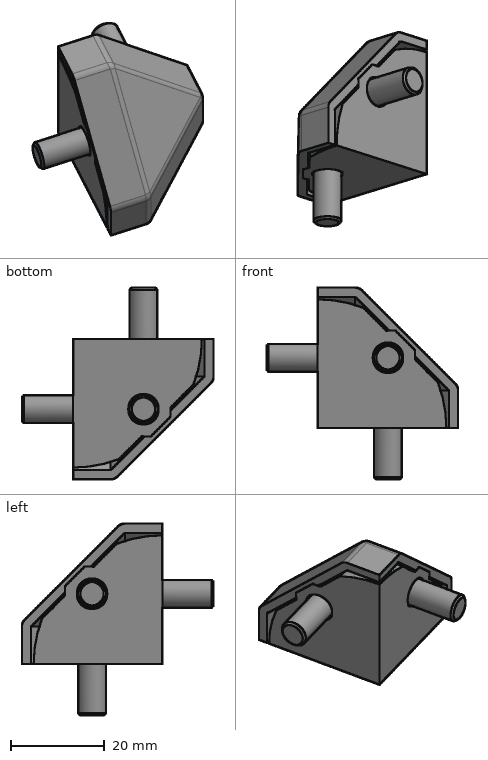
import cadquery as cq
import math


overall = 41.0
pin_reach = 11.0
cap_size = overall - pin_reach

wall = 2.0
cap_bevel = 27.45

body_radius = 27.45
body_gap = 0.35

key_reach = 20.8
key_height = 1.35
key_depth = 6.15

pin_diameter = 6.0
pin_chamfer = 0.5
pin_depth = 5.0
pin_hole_diameter = 6.5
pin_position = cap_size / 2

cavity_size = cap_size - wall
cavity_bevel = cap_bevel - wall
body_bevel = cavity_bevel - body_gap

AXES = [(1, 0, 0), (0, 1, 0), (0, 0, 1)]
BEVEL_NORMALS = [(0, 1, 1), (1, 0, 1), (1, 1, 0)]
CORNER_NORMAL = (1, 1, 1)
TOLERANCE = 0.005


def trim(shape, normal, distance):
    """Remove everything beyond a plane lying at a distance from the origin along its normal."""
    direction = cq.Vector(*normal).normalized()
    plane = cq.Plane(origin=direction * distance, normal=direction)
    ample = 4 * overall
    beyond = cq.Workplane(plane).rect(ample, ample).extrude(ample)
    return shape.cut(beyond)


def corner_distance(size, bevel):
    """Distance from the origin to the triangular face spanning the ends of the three flat faces."""
    flat_width = bevel * math.sqrt(2) - size
    return (size + 2 * flat_width) / math.sqrt(3)


def trim_facets(shape, bevel, corner):
    """Cut the three bevels and the triangular corner face."""
    for normal in BEVEL_NORMALS:
        shape = trim(shape, normal, bevel)
    return trim(shape, CORNER_NORMAL, corner)


def cube(size):
    return cq.Workplane("XY").box(size, size, size, centered=False)


def faceted_corner(size, bevel):
    return trim_facets(cube(size), bevel, corner_distance(size, bevel))


def is_outer_edge(edge):
    """True for an edge that does not lie in one of the mating faces."""
    return min(edge.Center().toTuple()) > TOLERANCE


def make_keys():
    """The three key blocks, one behind each mating face, reaching from the origin to the key top."""
    block = cq.Workplane("XY").box(key_reach, key_reach, key_depth, centered=False)
    key_z = trim(block, (1, 1, 0), body_bevel + key_height)
    third_turn = 120
    return [key_z.rotate((0, 0, 0), CORNER_NORMAL, turn * third_turn) for turn in range(3)]


def pin_plane(axis):
    """Plane on a mating face at its pin, with the normal pointing out of the part."""
    outward = cq.Vector(*axis) * -1
    centre = (cq.Vector(1, 1, 1) + outward) * pin_position
    return cq.Plane(origin=centre, normal=outward)


def make_cap():
    outside = faceted_corner(cap_size, cap_bevel)
    outer_edges = [edge for edge in outside.edges().vals() if is_outer_edge(edge)]
    cap = outside.newObject(outer_edges).fillet(wall)
    cap = cap.cut(faceted_corner(cavity_size, cavity_bevel))
    for key in make_keys():
        cap = cap.cut(key)
    return cap


def make_body():
    ball = cq.Workplane("XY").sphere(body_radius)
    body = ball.intersect(cube(cap_size))
    corner = corner_distance(cavity_size, cavity_bevel) - body_gap
    body = trim_facets(body, body_bevel, corner)
    for key in make_keys():
        body = body.union(key)
    for axis in AXES:
        hole = cq.Workplane(pin_plane(axis)).circle(pin_hole_diameter / 2).extrude(-pin_depth)
        body = body.cut(hole)
    return body


def make_pin(axis):
    """A pin standing on the floor of its hole, chamfered at the free end."""
    seat = cq.Workplane(pin_plane(axis)).workplane(offset=-pin_depth)
    pin = seat.circle(pin_diameter / 2).extrude(pin_depth + pin_reach)
    free_end = cq.DirectionMinMaxSelector(cq.Vector(*axis), directionMax=False)
    return pin.faces(free_end).chamfer(pin_chamfer)


cap = make_cap()
body = make_body()
pins = [make_pin(axis) for axis in AXES]

result = cq.Compound.makeCompound([cap.val(), body.val(), *[pin.val() for pin in pins]])